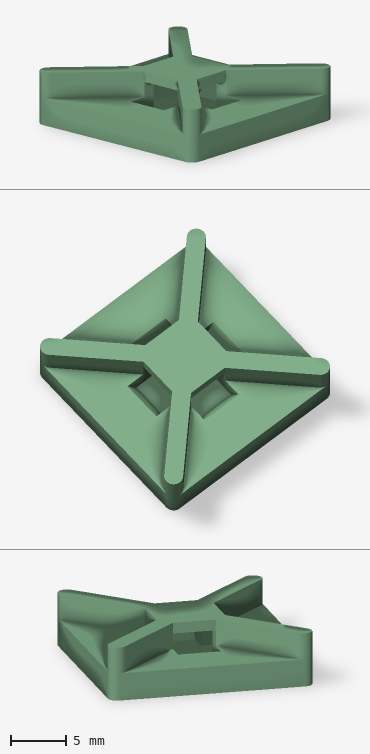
import cadquery as cq
import math

side = 19.1
corner_radius = 0.85
total_height = 5.0

liner_thickness = 0.1
pad_top = 1.05
base_top = 2.55

bridge_underside = 4.0
bridge_half_span = 3.2

channel_width = 4.05
slot_reach = 5.1
slot_floor_reach = 4.05

arm_width = 2 * corner_radius
arm_length = math.sqrt(2) * (side - arm_width) + arm_width


def plate_layer(bottom, top):
    """Square layer with rounded corners between two heights."""
    return (
        cq.Workplane("XY", origin=(0, 0, bottom))
        .rect(side, side)
        .extrude(top - bottom)
        .edges("|Z")
        .fillet(corner_radius)
    )


def cross():
    """Two diagonal round-ended arms joined by an octagonal centre."""
    height = total_height - base_top
    plane = cq.Workplane("XY", origin=(0, 0, base_top))
    near = channel_width / 2
    far = bridge_half_span
    octagon = [
        (far, near), (near, far), (-near, far), (-far, near),
        (-far, -near), (-near, -far), (near, -far), (far, -near),
    ]
    body = plane.polyline(octagon).close().extrude(height)
    for angle in (45, -45):
        body = body.union(plane.slot2D(arm_length, arm_width, angle).extrude(height))
    return body


def strap_channel():
    """Channel along X, with sloping ends in the base and a level run below the bridge."""
    profile = [
        (-slot_floor_reach, pad_top),
        (slot_floor_reach, pad_top),
        (slot_reach, base_top),
        (slot_reach, bridge_underside),
        (-slot_reach, bridge_underside),
        (-slot_reach, base_top),
    ]
    return cq.Workplane("XZ").polyline(profile).close().extrude(channel_width / 2, both=True)


def make_mount():
    """Base plate and raised cross, cut through by the two strap channels."""
    body = plate_layer(pad_top, base_top).union(cross())
    for angle in (0, 90):
        body = body.cut(strap_channel().rotate((0, 0, 0), (0, 0, 1), angle))
    return body


mount = make_mount()
adhesive_pad = plate_layer(liner_thickness, pad_top)
release_liner = plate_layer(0, liner_thickness)

result = cq.Compound.makeCompound([mount.val(), adhesive_pad.val(), release_liner.val()])